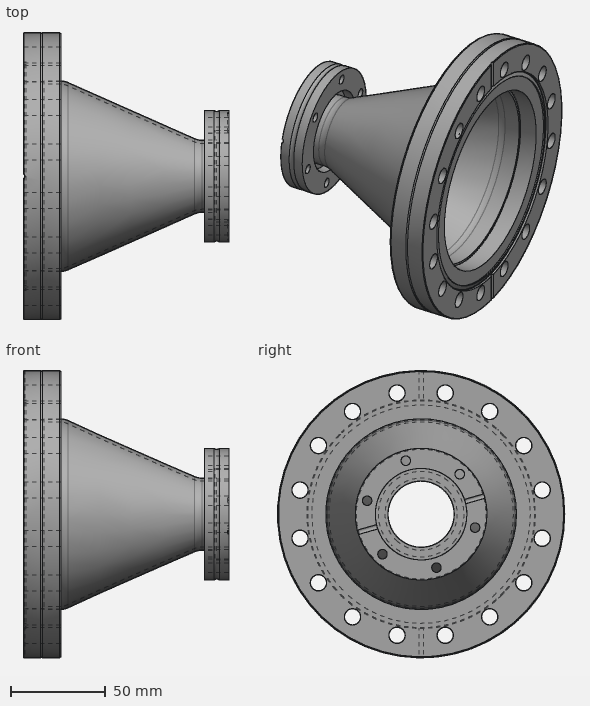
import cadquery as cq
import math

overall_length = 108.55

large_diameter = 151.6
large_thickness = 19.9
large_front_chamfer = 0.4
large_back_chamfer_length = 0.9
large_back_chamfer_height = 0.55
large_bore = 99.6
large_groove_centre = 9.65
large_groove_width = 1.0
large_groove_depth = 0.3
large_bolt_count = 16
large_bolt_circle = 130.3
large_bolt_hole = 8.43

recess_diameter = 120.65
recess_depth = 1.3
knife_root_diameter = 119.8
knife_tip_diameter = 115.3
knife_tip_depth = 0.5
sealing_floor_depth = 1.3

wall = 1.65
tube_large_diameter = 100.7
tube_small_diameter = 38.1
tube_start = 11.0
cone_start = 21.6
cone_length = 70.6
bend_radius = 10.0
tube_end = 102.0

small_diameter = 69.5
small_thickness = 13.0
small_start = overall_length - small_thickness
small_groove_width = 2.8
small_groove_depth = 0.5
ring_rear_bore = 45.21
insert_diameter = 48.31
insert_thickness = 7.5
insert_start = overall_length - insert_thickness
small_bolt_count = 6
small_bolt_circle = 58.7
small_bolt_hole = 5.0
ring_rotation = 16.0

slot_width = 2.4
slot_depth = 0.8
slot_angle = 90


def revolve_about_x(profile):
    """Turn a closed (axial, radial) profile about the X axis."""
    return profile.close().revolve(360, (0, 0, 0), (1, 0, 0))


def disc(start, length, diameter):
    return cq.Workplane("YZ", origin=(start, 0, 0)).circle(diameter / 2).extrude(length)


def rim_groove(centre, width, depth, rim_diameter):
    """Ring with an arc-shaped section that cuts a shallow groove in a rim."""
    rim_radius = rim_diameter / 2
    profile = (
        cq.Workplane("XY")
        .moveTo(centre - width / 2, rim_radius)
        .threePointArc((centre, rim_radius - depth), (centre + width / 2, rim_radius))
        .lineTo(centre + width / 2, rim_radius + depth)
        .lineTo(centre - width / 2, rim_radius + depth)
    )
    return revolve_about_x(profile)


def bolt_holes(start, length, circle, hole, count, first_angle):
    """Bolt hole cutters; angles run from +Y towards +Z."""
    return (
        cq.Workplane("YZ", origin=(start, 0, 0))
        .polarArray(circle / 2, first_angle, 360, count)
        .circle(hole / 2)
        .extrude(length)
    )


def leak_slots(face, inward, rim_diameter, angle):
    """Bar across a face that cuts two opposite slots; inward is +1 or -1 along X, angle is from +Y to +Z."""
    slot_radius = (slot_width**2 / 4 + slot_depth**2) / (2 * slot_depth)
    axis_x = face + inward * (slot_depth - slot_radius)
    bar = cq.Workplane("XZ", origin=(axis_x, 0, 0)).circle(slot_radius).extrude(rim_diameter, both=True)
    return bar.rotate((0, 0, 0), (1, 0, 0), angle)


def make_large_flange():
    """Flange with a knife edge in its face and a stepped bore that seats the tube."""
    rim = large_diameter / 2
    bore = large_bore / 2
    profile = (
        cq.Workplane("XY")
        .moveTo(sealing_floor_depth, bore)
        .lineTo(sealing_floor_depth, knife_tip_diameter / 2)
        .lineTo(knife_tip_depth, knife_tip_diameter / 2)
        .lineTo(recess_depth, knife_root_diameter / 2)
        .lineTo(recess_depth, recess_diameter / 2)
        .lineTo(0, recess_diameter / 2)
        .lineTo(0, rim - large_front_chamfer)
        .lineTo(large_front_chamfer, rim)
        .lineTo(large_thickness - large_back_chamfer_length, rim)
        .lineTo(large_thickness, rim - large_back_chamfer_height)
        .lineTo(large_thickness, tube_large_diameter / 2)
        .lineTo(tube_start, tube_large_diameter / 2)
        .lineTo(tube_start, bore)
    )
    slots = leak_slots(0, 1, large_diameter, slot_angle).cut(
        disc(-large_thickness, 2 * large_thickness, recess_diameter)
    )
    half_pitch = 180 / large_bolt_count
    bolts = bolt_holes(0, large_thickness, large_bolt_circle, large_bolt_hole, large_bolt_count, half_pitch)
    return (
        revolve_about_x(profile)
        .cut(rim_groove(large_groove_centre, large_groove_width, large_groove_depth, large_diameter))
        .cut(bolts)
        .cut(slots)
    )


def make_tube():
    """Constant-wall tube: cylinder, bend, cone, opposite bend, cylinder."""
    large_radius = tube_large_diameter / 2
    small_radius = tube_small_diameter / 2
    slope = math.atan2(large_radius - small_radius, cone_length)
    tangent_length = bend_radius * math.tan(slope / 2)
    large_bend = (cone_start - tangent_length, large_radius - bend_radius)
    small_bend = (cone_start + cone_length + tangent_length, small_radius + bend_radius)

    def large_point(radius, angle):
        return large_bend[0] + radius * math.sin(angle), large_bend[1] + radius * math.cos(angle)

    def small_point(radius, angle):
        return small_bend[0] - radius * math.sin(angle), small_bend[1] - radius * math.cos(angle)

    large_inner = bend_radius - wall
    small_inner = bend_radius + wall
    profile = (
        cq.Workplane("XY")
        .moveTo(tube_start, large_radius)
        .lineTo(*large_point(bend_radius, 0))
        .threePointArc(large_point(bend_radius, slope / 2), large_point(bend_radius, slope))
        .lineTo(*small_point(bend_radius, slope))
        .threePointArc(small_point(bend_radius, slope / 2), small_point(bend_radius, 0))
        .lineTo(tube_end, small_radius)
        .lineTo(tube_end, small_radius - wall)
        .lineTo(*small_point(small_inner, 0))
        .threePointArc(small_point(small_inner, slope / 2), small_point(small_inner, slope))
        .lineTo(*large_point(large_inner, slope))
        .threePointArc(large_point(large_inner, slope / 2), large_point(large_inner, 0))
        .lineTo(tube_start, large_radius - wall)
    )
    return revolve_about_x(profile)


def make_small_ring():
    """Ring with a clearance bore at the back and a wider seat for the insert."""
    groove_centre = small_start + small_thickness / 2
    groove = rim_groove(groove_centre, small_groove_width, small_groove_depth, small_diameter)
    first_hole = ring_rotation + 180 / small_bolt_count
    bolts = bolt_holes(
        small_start, small_thickness, small_bolt_circle, small_bolt_hole, small_bolt_count, first_hole
    )
    return (
        disc(small_start, small_thickness, small_diameter)
        .cut(disc(small_start, small_thickness, ring_rear_bore))
        .cut(disc(insert_start, insert_thickness, insert_diameter))
        .cut(groove)
        .cut(bolts)
        .cut(leak_slots(overall_length, -1, small_diameter, ring_rotation))
    )


def make_insert():
    """Disc with a socket for the tube end and a bore flush with the tube's inside."""
    return (
        disc(insert_start, insert_thickness, insert_diameter)
        .cut(disc(insert_start, insert_thickness, tube_small_diameter - 2 * wall))
        .cut(disc(insert_start, tube_end - insert_start, tube_small_diameter))
    )


large_flange = make_large_flange()
tube = make_tube()
small_ring = make_small_ring()
insert = make_insert()

result = cq.Compound.makeCompound([large_flange.val(), tube.val(), small_ring.val(), insert.val()])